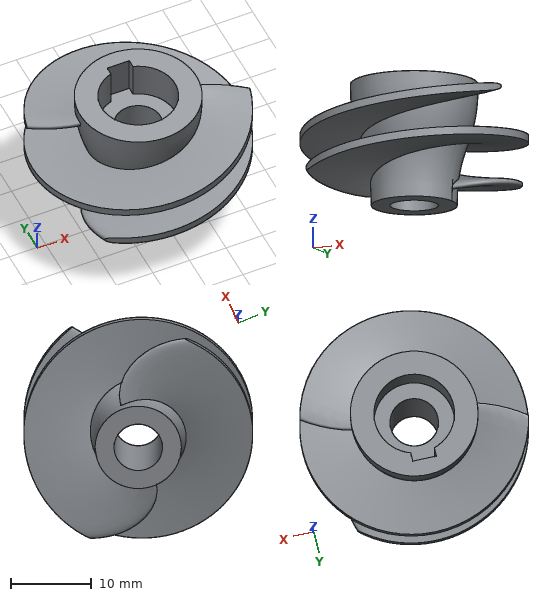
import math

import cadquery as cq

hub_height = 15.37
hub_bottom_radius = 5.34
hub_top_radius = 7.93
flare_handle = 0.5 * hub_height

shaft_radius = 3.0
counterbore_radius = 5.0
counterbore_depth = 5.0
key_width = 3.0
key_reach = 5.85

blade_count = 2
blade_tip_radius = 14.19
blade_thickness = 1.0
blade_mid_height = 7.62
blade_mid_angle = 360.0
half_wrap_angle = 180.0
rise_per_quarter_turn = 2.34
leading_rise_cubic = 0.145
trailing_rise_cubic = 0.165

leading_root_radius = 5.4
leading_sweep_angle = 48.0
leading_sweep_power = 1.4
trailing_root_radius = 7.9
trailing_sweep_angle = 11.4

leading_nose_root_length = 2.4
trailing_nose_root_length = 2.1
nose_rim_length = 3.3
nose_bluntness = 0.85
nose_run_out = 0.65

skin_inner_radius = 4.5
skin_outer_radius = 14.8
radial_steps = 12
nose_steps = 20
flight_steps = 48
fit_tolerance = 0.0005
sewing_tolerance = 0.002


def linear(radius, root_radius, root_value, rim_value):
    """Value at a radius that changes evenly from blade root to rim."""
    share = (radius - root_radius) / (blade_tip_radius - root_radius)
    return root_value + share * (rim_value - root_value)


def leading_limits(radius):
    """Angles of the leading edge and of the inner end of its rounding at a radius."""
    share = linear(radius, leading_root_radius, 0, 1)
    sweep = leading_sweep_angle * math.copysign(abs(share) ** leading_sweep_power, share)
    nose = linear(radius, leading_root_radius, leading_nose_root_length, nose_rim_length)
    edge = blade_mid_angle - half_wrap_angle + sweep
    return edge, edge + math.degrees(nose / radius)


def trailing_limits(radius):
    """Angles of the trailing edge and of the inner end of its rounding at a radius."""
    sweep = linear(radius, trailing_root_radius, 0, trailing_sweep_angle)
    nose = linear(radius, trailing_root_radius, trailing_nose_root_length, nose_rim_length)
    edge = blade_mid_angle + half_wrap_angle - sweep
    return edge, edge - math.degrees(nose / radius)


def blade_point(radius, angle, side):
    """Point of a blade: side is -1 on the lower skin, 0 on the mid surface, +1 on the upper skin."""
    quarter_turns = (angle - blade_mid_angle) / 90
    cubic = trailing_rise_cubic if quarter_turns > 0 else leading_rise_cubic
    rise = rise_per_quarter_turn * quarter_turns + cubic * quarter_turns**3
    around = math.radians(angle)
    return cq.Vector(
        radius * math.cos(around),
        radius * math.sin(around),
        blade_mid_height + rise + side * blade_thickness / 2,
    )


def nose_point(radius, limits, share):
    """Point on the rounding, from the lower skin (share 0) over the edge to the upper skin (share 1)."""
    edge, inner_end = limits(radius)
    signed = 2 * share - 1
    s = abs(signed)
    inward = 3 * (1 - nose_run_out) * s**2 * (1 - s) + s**3
    height = 3 * nose_bluntness * s * (1 - s) ** 2 + 3 * s**2 * (1 - s) + s**3
    angle = edge + inward * (inner_end - edge)
    return blade_point(radius, angle, math.copysign(height, signed))


def leading_nose(radius, share):
    return nose_point(radius, leading_limits, share)


def trailing_nose(radius, share):
    return nose_point(radius, trailing_limits, share)


def flight_point(radius, share, side):
    """Point on the full-thickness stretch between the two roundings."""
    _, start = leading_limits(radius)
    _, end = trailing_limits(radius)
    return blade_point(radius, start + share * (end - start), side)


def upper_flight(radius, share):
    return flight_point(radius, share, 1)


def lower_flight(radius, share):
    return flight_point(radius, share, -1)


def strip(stretch, steps, radius):
    """Points along one stretch of the blade at a constant radius."""
    return [stretch(radius, i / steps) for i in range(steps + 1)]


def skin_patch(stretch, steps):
    """Smooth face over one stretch of the blade."""
    radial_step = (skin_outer_radius - skin_inner_radius) / radial_steps
    rows = [strip(stretch, steps, skin_inner_radius + i * radial_step) for i in range(radial_steps + 1)]
    return cq.Face.makeSplineApprox(rows, tol=fit_tolerance, minDeg=3, maxDeg=6)


def end_caps(radius):
    """Faces closing the blade at a constant radius: one across the flight and one per nose."""
    upper = cq.Edge.makeSpline(strip(upper_flight, flight_steps, radius))
    lower = cq.Edge.makeSpline(strip(lower_flight, flight_steps, radius))
    caps = [cq.Face.makeRuledSurface(lower, upper)]
    for nose in (leading_nose, trailing_nose):
        outline = cq.Edge.makeSpline(strip(nose, nose_steps, radius))
        chord = cq.Edge.makeLine(nose(radius, 0), nose(radius, 1))
        caps.append(cq.Face.makeRuledSurface(outline, chord))
    return caps


def make_blade():
    faces = [
        skin_patch(upper_flight, flight_steps),
        skin_patch(lower_flight, flight_steps),
        skin_patch(leading_nose, nose_steps),
        skin_patch(trailing_nose, nose_steps),
    ]
    faces += end_caps(skin_inner_radius)
    faces += end_caps(skin_outer_radius)
    shell = cq.occ_impl.shapes.shell(*faces, tol=sewing_tolerance)
    blade = cq.Workplane(cq.Solid.makeSolid(shell))
    rim = cq.Workplane("XY").circle(blade_tip_radius).extrude(hub_height)
    return blade.intersect(rim)


def make_hub():
    flare = [
        (hub_bottom_radius, 0),
        (hub_bottom_radius, flare_handle),
        (hub_top_radius, hub_height - flare_handle),
        (hub_top_radius, hub_height),
    ]
    outline = cq.Workplane("XZ").lineTo(hub_bottom_radius, 0).bezier(flare).lineTo(0, hub_height).close()
    return outline.revolve(360, (0, 0), (0, 1))


def make_bores():
    shaft = cq.Workplane("XY").circle(shaft_radius).extrude(hub_height)
    seat = cq.Workplane("XY", origin=(0, 0, hub_height - counterbore_depth))
    counterbore = seat.circle(counterbore_radius).extrude(counterbore_depth)
    keyway = seat.center(0, key_reach / 2).rect(key_width, key_reach).extrude(counterbore_depth)
    return shaft.union(counterbore).union(keyway)


def make_impeller():
    impeller = make_hub()
    blade = make_blade()
    for i in range(blade_count):
        impeller = impeller.union(blade.rotate((0, 0, 0), (0, 0, 1), i * 360 / blade_count))
    return impeller.cut(make_bores())


result = make_impeller()